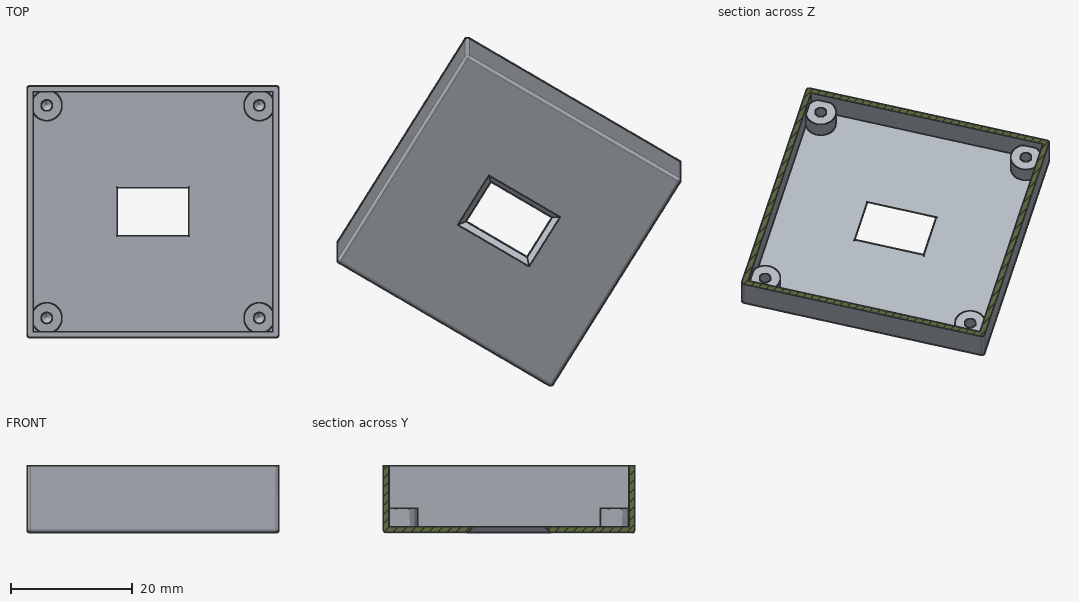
import cadquery as cq
import math

side = 41.3
height = 11.0
wall = 1.0
floor = 1.0
edge_radius = 0.5

boss_diameter = 5.0
boss_height = 3.0
boss_spacing = 34.85
screw_hole_diameter = 1.8
drill_point_angle = 118.0
drill_point_depth = screw_hole_diameter / 2 / math.tan(math.radians(drill_point_angle / 2))
screw_hole_depth = boss_height - drill_point_depth

window_length = 11.7
window_width = 7.85


def make_tray():
    """Box with rounded vertical and bottom edges, hollowed from the top."""
    body = cq.Workplane("XY").box(side, side, height, centered=(True, True, False))
    body = body.edges("|Z or <Z").fillet(edge_radius)
    return body.cut(make_cavity())


def make_cavity():
    """Square inner space above the floor."""
    inner_side = side - 2 * wall
    return (
        cq.Workplane("XY", origin=(0, 0, floor))
        .rect(inner_side, inner_side)
        .extrude(height - floor)
    )


def boss_centres(level):
    """Workplane at the given height holding the four boss centres."""
    return (
        cq.Workplane("XY", origin=(0, 0, level))
        .rect(boss_spacing, boss_spacing, forConstruction=True)
        .vertices()
    )


def make_screw_hole(boss_top):
    """Blind hole with a conical drill point, on the Z axis, open at boss_top."""
    radius = screw_hole_diameter / 2
    cone_start = boss_top - screw_hole_depth
    return (
        cq.Workplane("XZ")
        .moveTo(0, boss_top)
        .lineTo(radius, boss_top)
        .lineTo(radius, cone_start)
        .lineTo(0, cone_start - drill_point_depth)
        .close()
        .revolve(360, (0, 0), (0, 1))
    )


bosses = boss_centres(floor).circle(boss_diameter / 2).extrude(boss_height).intersect(make_cavity())
screw_hole = make_screw_hole(floor + boss_height).val()
screw_holes = boss_centres(0).eachpoint(screw_hole)
window = (
    cq.Workplane("XY", origin=(0, 0, floor))
    .rect(window_length, window_width)
    .workplane(offset=-floor)
    .rect(window_length + 2 * floor, window_width + 2 * floor)
    .loft(ruled=True)
)

result = make_tray().union(bosses).cut(screw_holes).cut(window)